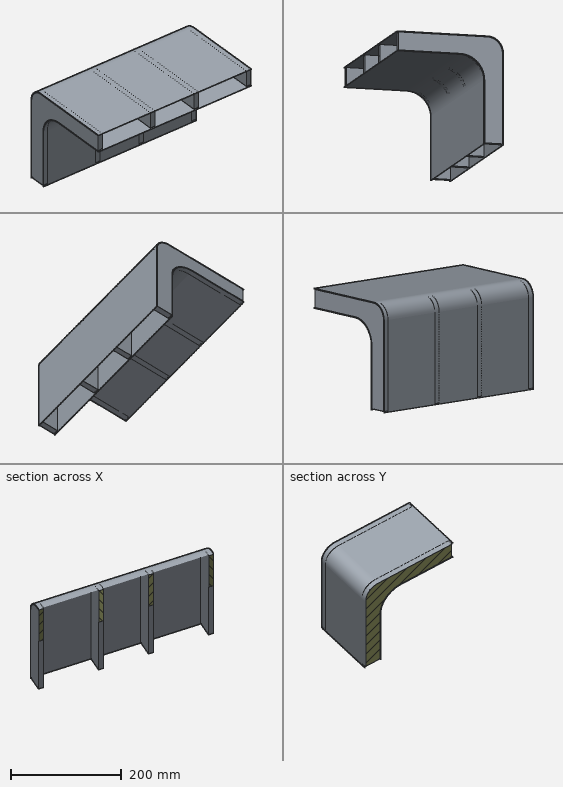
import cadquery as cq

leg = 200.0
length = 350.0
wall = 37.0
skin = 1.0
outer_radius = 30.0
inner_radius = 45.0

rib_thickness = 10.0
rib_inset = 2.0
rib_clearance = 0.95
inner_rib_offset = 120.0

rib_starts = [
    0.0,
    inner_rib_offset,
    length - inner_rib_offset - rib_thickness,
    length - rib_thickness,
]


def bent_strip(near, far, near_radius, far_radius, end, y_start, y_length):
    """L-shaped strip between two depths below the outer faces, with rounded corners."""
    profile = (
        cq.Workplane("XZ", origin=(0, y_start, 0))
        .moveTo(end, -near)
        .lineTo(near + near_radius, -near)
        .radiusArc((near, -near - near_radius), -near_radius)
        .lineTo(near, -end)
        .lineTo(far, -end)
        .lineTo(far, -far - far_radius)
        .radiusArc((far + far_radius, -far), far_radius)
        .lineTo(end, -far)
        .close()
    )
    return profile.extrude(-y_length)


def make_outer_skin():
    return bent_strip(0, skin, outer_radius, outer_radius - skin, leg, 0, length)


def make_inner_skin():
    return bent_strip(wall - skin, wall, inner_radius + skin, inner_radius, leg, 0, length)


def make_rib(y_start):
    """Plate between the skins, clear of both by the same small gap."""
    depth = skin + rib_clearance
    return bent_strip(
        depth,
        wall - depth,
        outer_radius - depth,
        inner_radius + depth,
        leg - rib_inset,
        y_start,
        rib_thickness,
    )


outer_skin = make_outer_skin()
inner_skin = make_inner_skin()
ribs = [make_rib(y_start) for y_start in rib_starts]

result = cq.Compound.makeCompound(
    [outer_skin.val(), inner_skin.val(), *[rib.val() for rib in ribs]]
)